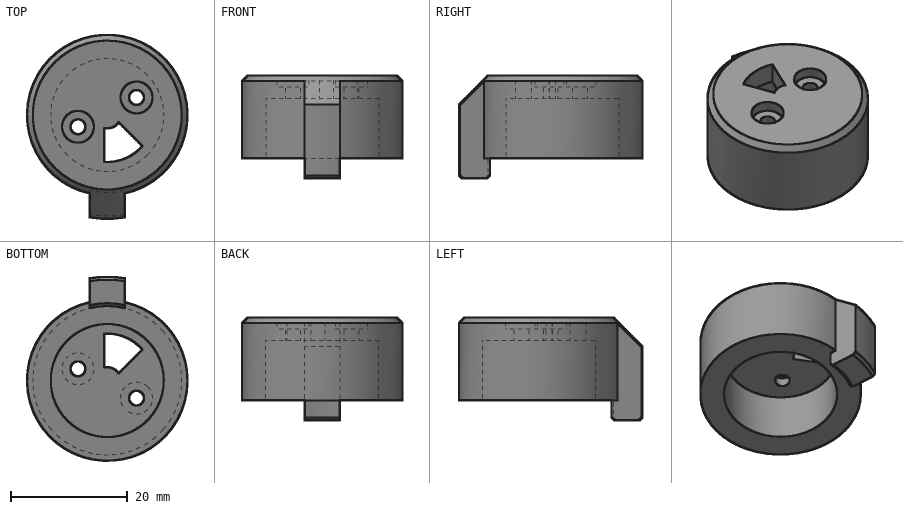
import cadquery as cq
import math

body_radius = 13.72
body_height = 14.18
top_chamfer = 1.0
top_face_radius = body_radius - top_chamfer

cavity_diameter = 19.32
plate_thickness = 4.0
cavity_depth = body_height - plate_thickness

leg_width = 6.0
leg_inner_radius = top_face_radius
leg_outer_radius = 17.74
leg_drop = 3.4
leg_bottom_chamfer = 0.5

screw_positions = [(5.0, 3.0), (-5.0, -2.0)]
screw_diameter = 2.5
counterbore_diameter = 5.44
counterbore_depth = 2.0

window_inner_radius = 2.3
window_outer_radius = 8.0
window_start_angle = -90.0
window_end_angle = -45.0
window_clearance = 0.5


def make_turned_envelope():
    """Turned blank at the leg's radius, with a hanging rim and one 45 degree cone on top.

    The cone forms both the body's top chamfer and the sloped top of the leg.
    """
    cone_bottom = body_height - (leg_outer_radius - top_face_radius)
    chamfer_top = leg_bottom_chamfer - leg_drop
    profile = [
        (0, 0),
        (0, body_height),
        (top_face_radius, body_height),
        (leg_outer_radius, cone_bottom),
        (leg_outer_radius, chamfer_top),
        (leg_outer_radius - leg_bottom_chamfer, -leg_drop),
        (leg_inner_radius + leg_bottom_chamfer, -leg_drop),
        (leg_inner_radius, chamfer_top),
        (leg_inner_radius, 0),
    ]
    return cq.Workplane("XZ").polyline(profile).close().revolve(360, (0, 0, 0), (0, 1, 0))


def make_plan_outline():
    """Body cylinder joined to a straight-sided bar that reaches past the leg toward -Y."""
    bar_length = 2 * body_radius
    cylinder = cq.Workplane("XY").circle(body_radius).extrude(body_height)
    bar = (
        cq.Workplane("XY", origin=(0, -bar_length / 2, -leg_drop))
        .rect(leg_width, bar_length)
        .extrude(body_height + leg_drop)
    )
    return cylinder.union(bar)


def polar_point(radius, angle):
    """Point at an angle in degrees about the body axis."""
    return (radius * math.cos(math.radians(angle)), radius * math.sin(math.radians(angle)))


def make_window():
    """Ring sector whose straight sides sit parallel to, and outside, their radial lines."""
    inner_spread = math.degrees(math.asin(window_clearance / window_inner_radius))
    outer_spread = math.degrees(math.asin(window_clearance / window_outer_radius))
    middle_angle = (window_start_angle + window_end_angle) / 2
    return (
        cq.Workplane("XY")
        .moveTo(*polar_point(window_inner_radius, window_start_angle - inner_spread))
        .lineTo(*polar_point(window_outer_radius, window_start_angle - outer_spread))
        .threePointArc(
            polar_point(window_outer_radius, middle_angle),
            polar_point(window_outer_radius, window_end_angle + outer_spread),
        )
        .lineTo(*polar_point(window_inner_radius, window_end_angle + inner_spread))
        .threePointArc(
            polar_point(window_inner_radius, middle_angle),
            polar_point(window_inner_radius, window_start_angle - inner_spread),
        )
        .close()
        .extrude(body_height)
    )


def cut_screw_holes(part):
    """Counterbored holes from the top face down through the plate."""
    return (
        part.faces(">Z")
        .workplane(origin=(0, 0, body_height))
        .pushPoints(screw_positions)
        .cboreHole(screw_diameter, counterbore_diameter, counterbore_depth)
    )


cavity = cq.Workplane("XY").circle(cavity_diameter / 2).extrude(cavity_depth)

cap = make_turned_envelope().intersect(make_plan_outline())
cap = cap.cut(cavity)
cap = cap.cut(make_window())
result = cut_screw_holes(cap)